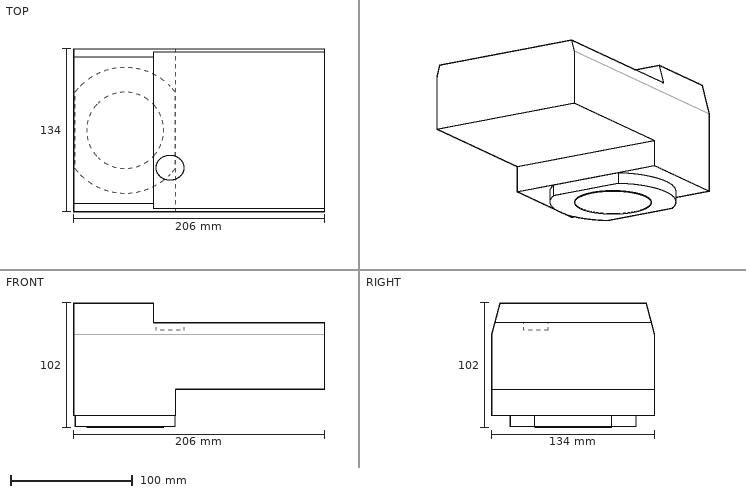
import cadquery as cq
import math

length = 206.0
width = 134.0
height = 102.0

head_bottom = 9.7
plate_bottom = 31.3
plate_top = 86.1
bevel_start = 76.2

head_top_length = 65.7
head_bottom_length = 83.6
top_width = 120.3

foot_diameter = 103.6
foot_flat_length = 63.0
foot_center_x = 42.2
pad_diameter = 63.0
pad_height = 0.6

pocket_length = 23.0
pocket_width = 20.4
pocket_depth = 6.2
pocket_x = 79.1
pocket_y = -30.7


def make_body():
    """Stepped side outline trimmed by the bevelled end outline."""
    side = (
        cq.Workplane("XZ")
        .polyline([
            (0, head_bottom),
            (head_bottom_length, head_bottom),
            (head_bottom_length, plate_bottom),
            (length, plate_bottom),
            (length, plate_top),
            (head_top_length, plate_top),
            (head_top_length, height),
            (0, height),
        ])
        .close()
        .extrude(width / 2, both=True)
    )
    end = (
        cq.Workplane("YZ")
        .polyline([
            (-width / 2, head_bottom),
            (width / 2, head_bottom),
            (width / 2, bevel_start),
            (top_width / 2, height),
            (-top_width / 2, height),
            (-width / 2, bevel_start),
        ])
        .close()
        .extrude(length)
    )
    return side.intersect(end)


def make_foot():
    """Disc flattened on both X sides, with a thin round pad below it."""
    foot_height = head_bottom - pad_height
    across_flats = math.sqrt(foot_diameter**2 - foot_flat_length**2)
    base = cq.Workplane("XY", origin=(foot_center_x, 0, pad_height))
    disc = base.circle(foot_diameter / 2).extrude(foot_height)
    flats = base.rect(across_flats, foot_diameter).extrude(foot_height)
    pad = base.circle(pad_diameter / 2).extrude(-pad_height)
    return disc.intersect(flats).union(pad)


def make_pocket():
    """Elliptical cutter sunk into the plate's upper face."""
    return (
        cq.Workplane("XY", origin=(pocket_x, pocket_y, plate_top))
        .ellipse(pocket_length / 2, pocket_width / 2)
        .extrude(-pocket_depth)
    )


result = make_body().union(make_foot()).cut(make_pocket())